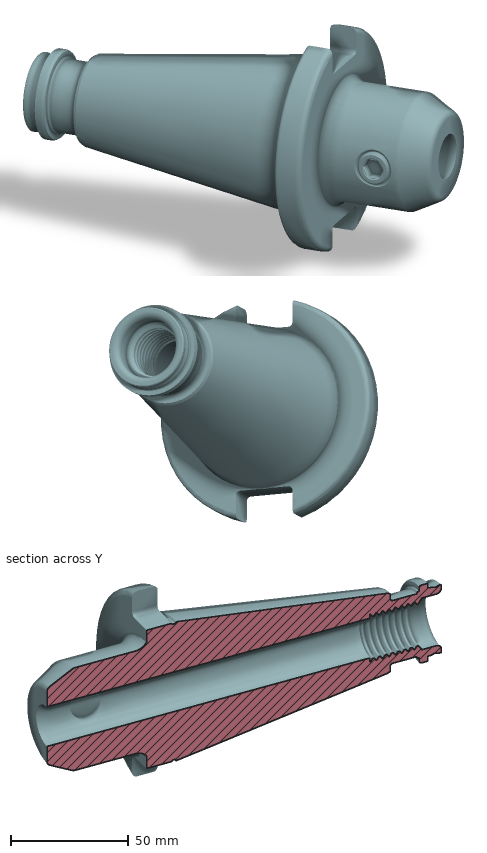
import cadquery as cq

LENGTH = 189.8

RIM_RADIUS = 17.3
RIM_CHAMFER = 0.4
RIM_END_X = 1.3
GROOVE_RADIUS = 16.7
GROOVE_FLOOR_START_X = 2.8
GROOVE_FLOOR_END_X = 3.5
GROOVE_END_X = 5.1
SHOULDER_START_X = 6.6
SHOULDER_RADIUS = 19.7
SHOULDER_ROOT_CHAMFER = 0.4
SHOULDER_END_X = 10.8
SHOULDER_CHAMFER_LENGTH = 1.1
SHOULDER_CHAMFER_DROP = 0.5

NECK_RADIUS = 16.0
NECK_STEP_RADIUS = 16.9
NECK_STEP_END_X = 11.5
NECK_START_X = 12.1
NECK_END_CHAMFER = 0.5

TAPER_SLOPE = 3.5 / 24
TAPER_START_X = 24.5
TAPER_END_X = 127.5
TAPER_END_RADIUS = 35.1
LEAD_IN_LENGTH = 1.3
LEAD_IN_DROP = 0.5

RELIEF_RADIUS = 34.4
RELIEF_CHAMFER_LENGTH = 0.5
RELIEF_FILLET = 0.8

FLANGE_DIAMETER = 97.0
FLANGE_RADIUS = FLANGE_DIAMETER / 2
FLANGE_START_X = 129.8
FLANGE_END_X = 142.0
FLANGE_REAR_FILLET = 1.9
FLANGE_FRONT_FILLET = 2.5
SLOT_WIDTH = 26.2
SLOT_FLOOR_Z = 35.0
SLOT_FILLET = 1.9

NOSE_RADIUS = 26.0
NOSE_ROOT_RADIUS = 28.7
NOSE_ROOT_LENGTH = 5.1
NOSE_CONE_X = 176.9
NOSE_CONE_FILLET = 2.3
NOSE_END_RADIUS = 19.2
NOSE_END_FILLET = 2.8

BORE_RADIUS = 9.9
COUNTERBORE_RADIUS = 13.0
COUNTERBORE_DEPTH = 9.5
MOUTH_FILLET = 2.7
THREAD_MAJOR_RADIUS = 12.0
THREAD_MINOR_RADIUS = 10.5
THREAD_PITCH = 3.0
THREAD_CREST = 0.8
THREAD_COUNT = 8
THREAD_LEAD_IN = 0.5

SCREW_X = 166.3
SCREW_RADIUS = 7.4
SCREW_CHAMFER = 1.0
SCREW_HOLE_CHAMFER = 1.1
HEX_ACROSS_FLATS = 8.4
HEX_SIDES = 6
HEX_TURN = 180 / HEX_SIDES
HEX_DEPTH = 4.5
HEX_MOUTH_RADIUS = 5.0
HEX_MOUTH_DEPTH = 0.4
HEX_MOUTH_ANGLE = 45
OPPOSITE_HOLE_X = 165.0
OPPOSITE_HOLE_RADIUS = 8.7


def revolve_about_x(profile):
    return profile.close().revolve(360, (0, 0, 0), (1, 0, 0))


def make_outer_body():
    taper_start_radius = TAPER_END_RADIUS - (TAPER_END_X - TAPER_START_X) * TAPER_SLOPE
    lead_in_end_radius = taper_start_radius + LEAD_IN_LENGTH * TAPER_SLOPE
    nose_root_rise = NOSE_ROOT_RADIUS - NOSE_RADIUS
    nose_root_arc = (NOSE_ROOT_LENGTH**2 + nose_root_rise**2) / (2 * nose_root_rise)
    profile = (
        cq.Workplane("XZ")
        .lineTo(0, RIM_RADIUS - RIM_CHAMFER)
        .lineTo(RIM_CHAMFER, RIM_RADIUS)
        .lineTo(RIM_END_X, RIM_RADIUS)
        .lineTo(GROOVE_FLOOR_START_X, GROOVE_RADIUS)
        .lineTo(GROOVE_FLOOR_END_X, GROOVE_RADIUS)
        .lineTo(GROOVE_END_X, RIM_RADIUS)
        .lineTo(SHOULDER_START_X - SHOULDER_ROOT_CHAMFER, RIM_RADIUS)
        .lineTo(SHOULDER_START_X, RIM_RADIUS + SHOULDER_ROOT_CHAMFER)
        .lineTo(SHOULDER_START_X, SHOULDER_RADIUS)
        .lineTo(SHOULDER_END_X - SHOULDER_CHAMFER_LENGTH, SHOULDER_RADIUS)
        .lineTo(SHOULDER_END_X, SHOULDER_RADIUS - SHOULDER_CHAMFER_DROP)
        .lineTo(SHOULDER_END_X, NECK_STEP_RADIUS)
        .lineTo(NECK_STEP_END_X, NECK_STEP_RADIUS)
        .lineTo(NECK_START_X, NECK_RADIUS)
        .lineTo(TAPER_START_X - NECK_END_CHAMFER, NECK_RADIUS)
        .lineTo(TAPER_START_X, NECK_RADIUS + NECK_END_CHAMFER)
        .lineTo(TAPER_START_X, taper_start_radius - LEAD_IN_DROP)
        .lineTo(TAPER_START_X + LEAD_IN_LENGTH, lead_in_end_radius)
        .lineTo(TAPER_END_X, TAPER_END_RADIUS)
        .lineTo(TAPER_END_X + RELIEF_CHAMFER_LENGTH, RELIEF_RADIUS)
        .lineTo(FLANGE_START_X - RELIEF_FILLET, RELIEF_RADIUS)
        .radiusArc((FLANGE_START_X, RELIEF_RADIUS + RELIEF_FILLET), -RELIEF_FILLET)
        .lineTo(FLANGE_START_X, FLANGE_RADIUS - FLANGE_REAR_FILLET)
        .radiusArc((FLANGE_START_X + FLANGE_REAR_FILLET, FLANGE_RADIUS), FLANGE_REAR_FILLET)
        .lineTo(FLANGE_END_X - FLANGE_FRONT_FILLET, FLANGE_RADIUS)
        .radiusArc((FLANGE_END_X, FLANGE_RADIUS - FLANGE_FRONT_FILLET), FLANGE_FRONT_FILLET)
        .lineTo(FLANGE_END_X, NOSE_ROOT_RADIUS)
        .radiusArc((FLANGE_END_X + NOSE_ROOT_LENGTH, NOSE_RADIUS), -nose_root_arc)
        .lineTo(NOSE_CONE_X, NOSE_RADIUS)
        .lineTo(LENGTH, NOSE_END_RADIUS)
        .lineTo(LENGTH, 0)
    )
    body = revolve_about_x(profile)
    body = body.faces(">X").edges().fillet(NOSE_END_FILLET)
    cone_edge = cq.selectors.NearestToPointSelector((NOSE_CONE_X, 0, 0))
    return body.edges(cone_edge).fillet(NOSE_CONE_FILLET)


def make_bore():
    profile = (
        cq.Workplane("XZ")
        .lineTo(0, COUNTERBORE_RADIUS + MOUTH_FILLET)
        .radiusArc((MOUTH_FILLET, COUNTERBORE_RADIUS), -MOUTH_FILLET)
        .lineTo(COUNTERBORE_DEPTH, COUNTERBORE_RADIUS)
        .lineTo(COUNTERBORE_DEPTH + THREAD_LEAD_IN, THREAD_MAJOR_RADIUS)
    )
    ring_start = COUNTERBORE_DEPTH + THREAD_LEAD_IN
    flank = (THREAD_PITCH - THREAD_CREST) / 2
    for ring in range(THREAD_COUNT):
        x = ring_start + ring * THREAD_PITCH
        profile = (
            profile.lineTo(x + flank, THREAD_MINOR_RADIUS)
            .lineTo(x + flank + THREAD_CREST, THREAD_MINOR_RADIUS)
            .lineTo(x + THREAD_PITCH, THREAD_MAJOR_RADIUS)
        )
    thread_end = ring_start + THREAD_COUNT * THREAD_PITCH
    profile = profile.lineTo(thread_end, BORE_RADIUS).lineTo(LENGTH, BORE_RADIUS).lineTo(LENGTH, 0)
    return revolve_about_x(profile)


def make_key_slot():
    return (
        cq.Workplane("XY")
        .box(FLANGE_END_X - FLANGE_START_X, SLOT_WIDTH, FLANGE_RADIUS, centered=(False, True, False))
        .edges("|X and <Z")
        .fillet(SLOT_FILLET)
        .translate((FLANGE_START_X, 0, SLOT_FLOOR_Z))
    )


def cut_screw_hole(body):
    hole = cq.Workplane("XZ", origin=(SCREW_X, 0, 0)).circle(SCREW_RADIUS).extrude(FLANGE_RADIUS)
    hole_rim = cq.selectors.NearestToPointSelector((SCREW_X, -NOSE_RADIUS, 0))
    return body.cut(hole).edges(hole_rim).chamfer(SCREW_HOLE_CHAMFER)


def cut_opposite_hole(body):
    start = cq.Workplane("XZ", origin=(OPPOSITE_HOLE_X, 0, 0))
    return body.cut(start.circle(OPPOSITE_HOLE_RADIUS).extrude(-FLANGE_RADIUS))


def make_housing():
    body = cut_screw_hole(make_outer_body())
    body = cut_opposite_hole(body)
    body = body.cut(make_bore())
    for angle in (0, 180):
        body = body.cut(make_key_slot().rotate((0, 0, 0), (1, 0, 0), angle))
    return body


def make_screw():
    face = cq.Workplane("XZ", origin=(SCREW_X, -NOSE_RADIUS, 0))
    body = face.circle(SCREW_RADIUS).extrude(BORE_RADIUS - NOSE_RADIUS)
    body = body.faces("<Y").chamfer(SCREW_CHAMFER)
    hexagon = face.polygon(HEX_SIDES, HEX_ACROSS_FLATS, circumscribed=True).extrude(-HEX_DEPTH)
    hexagon = hexagon.rotate((SCREW_X, 0, 0), (SCREW_X, 1, 0), HEX_TURN)
    mouth = face.circle(HEX_MOUTH_RADIUS).extrude(-HEX_MOUTH_DEPTH, taper=HEX_MOUTH_ANGLE)
    return body.cut(hexagon).cut(mouth)


housing = make_housing()
screw = make_screw()
result = cq.Compound.makeCompound([housing.val(), screw.val()])